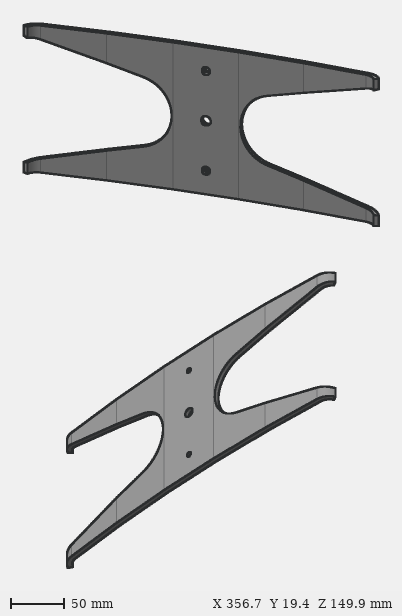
import cadquery as cq
import math

height = 149.86
thickness = 5.08
facet_length = 66.04
end_facet_length = 64.8
facet_bend = 2.1

hook_inner_radius = 12.7
hook_bend = 60.0

cutout_radius = 36.5
cutout_bottom = 34.5
cutout_half_angle = 14.1
cutout_reach = 200.0

center_hole_diameter = 9.525
screw_hole_diameter = 4.8
countersink_diameter = 8.2
countersink_angle = 82.0
screw_hole_offset = 50.8


def shifted(point, distance, angle):
    """Move a point by a distance along a direction given in degrees."""
    turn = math.radians(angle)
    return (point[0] + distance * math.cos(turn), point[1] + distance * math.sin(turn))


def mirrored(point):
    return (-point[0], point[1])


def bent_strip():
    """Constant-thickness strip: five folded flats with a rounded hook at each end."""
    end_tilt = -2 * facet_bend
    back_fold_1 = (facet_length / 2, 0)
    back_fold_2 = shifted(back_fold_1, facet_length, -facet_bend)
    back_end = shifted(back_fold_2, end_facet_length, end_tilt)

    mitre = thickness / math.cos(math.radians(facet_bend / 2))
    front_fold_1 = shifted(back_fold_1, mitre, -90 - facet_bend / 2)
    front_fold_2 = shifted(back_fold_2, mitre, -90 - 3 * facet_bend / 2)
    front_end = shifted(back_end, thickness, end_tilt - 90)

    outer_radius = hook_inner_radius + thickness
    hook_center = shifted(back_end, outer_radius, end_tilt - 90)
    mid_direction = end_tilt + 90 - hook_bend / 2
    tip_direction = end_tilt + 90 - hook_bend
    outer_mid = shifted(hook_center, outer_radius, mid_direction)
    outer_tip = shifted(hook_center, outer_radius, tip_direction)
    inner_mid = shifted(hook_center, hook_inner_radius, mid_direction)
    inner_tip = shifted(hook_center, hook_inner_radius, tip_direction)

    profile = (
        cq.Workplane("XY", origin=(0, 0, -height / 2))
        .moveTo(*mirrored(back_end))
        .lineTo(*mirrored(back_fold_2))
        .lineTo(*mirrored(back_fold_1))
        .lineTo(*back_fold_1)
        .lineTo(*back_fold_2)
        .lineTo(*back_end)
        .threePointArc(outer_mid, outer_tip)
        .lineTo(*inner_tip)
        .threePointArc(inner_mid, front_end)
        .lineTo(*front_fold_2)
        .lineTo(*front_fold_1)
        .lineTo(*mirrored(front_fold_1))
        .lineTo(*mirrored(front_fold_2))
        .lineTo(*mirrored(front_end))
        .threePointArc(mirrored(inner_mid), mirrored(inner_tip))
        .lineTo(*mirrored(outer_tip))
        .threePointArc(mirrored(outer_mid), mirrored(back_end))
        .close()
    )
    return profile.extrude(height)


def end_cutout():
    """Round-bottomed V opening toward +X, cut straight through along Y."""
    slope = math.radians(cutout_half_angle)
    center_x = cutout_bottom + cutout_radius
    tangent_x = center_x - cutout_radius * math.sin(slope)
    tangent_z = cutout_radius * math.cos(slope)
    reach_z = tangent_z + (cutout_reach - tangent_x) * math.tan(slope)
    outline = (
        cq.Workplane("XZ")
        .moveTo(cutout_reach, reach_z)
        .lineTo(tangent_x, tangent_z)
        .threePointArc((cutout_bottom, 0), (tangent_x, -tangent_z))
        .lineTo(cutout_reach, -reach_z)
        .close()
    )
    return outline.extrude(height, both=True)


def drill_holes(plate):
    """Plain center hole and two screw holes countersunk from the front face."""
    front_face = cq.Workplane("XZ", origin=(0, -thickness, 0))
    plate = plate.copyWorkplane(front_face).hole(center_hole_diameter)
    return (
        plate.copyWorkplane(front_face)
        .pushPoints([(0, screw_hole_offset), (0, -screw_hole_offset)])
        .cskHole(screw_hole_diameter, countersink_diameter, countersink_angle)
    )


right_cutout = end_cutout()
left_cutout = right_cutout.mirror("YZ")
result = drill_holes(bent_strip().cut(right_cutout).cut(left_cutout))